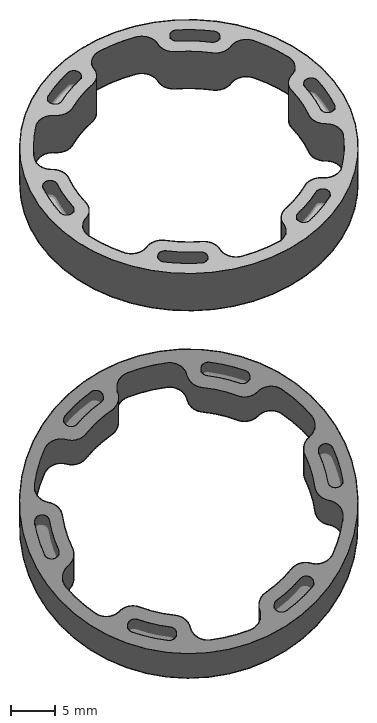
import cadquery as cq
import math

OUTER_RADIUS = 19.05
HEIGHT = 6.35
DRAFT_ANGLE = 0.5
FACE_RADIUS = OUTER_RADIUS - HEIGHT / 2 * math.tan(math.radians(DRAFT_ANGLE))

LOBE_COUNT = 6
PITCH_ANGLE = 360 / LOBE_COUNT
LOBE_RADIUS = 14.2875
POCKET_RADIUS = 17.4625
WALL_HALF_ANGLE = 7.6
CORNER_RADIUS = 2.0

SLOT_RADIUS = 16.67
SLOT_WIDTH = 1.7
SLOT_LENGTH = 5.65
SLOT_DEPTH = 2.5
SLOT_FLOOR_FILLET = 0.3


def polar_point(radius, angle):
    """Point at the given radius and angle in degrees."""
    return (radius * math.cos(math.radians(angle)), radius * math.sin(math.radians(angle)))


def rotated(point, angle):
    """Point turned about the ring axis by the given angle in degrees."""
    x, y = point
    return polar_point(math.hypot(x, y), math.degrees(math.atan2(y, x)) + angle)


def mirrored(point):
    """Point reflected across the X axis."""
    return (point[0], -point[1])


def arc_middle(center, start, end):
    """Middle point of the shorter arc from start to end about the center."""
    radius = math.dist(center, start)
    chord_x = (start[0] + end[0]) / 2 - center[0]
    chord_y = (start[1] + end[1]) / 2 - center[1]
    scale = radius / math.hypot(chord_x, chord_y)
    return (center[0] + scale * chord_x, center[1] + scale * chord_y)


def make_bore():
    """Through-opening whose pockets and lobes join in S-shaped flanks of two tangent arcs."""
    pocket_center_radius = POCKET_RADIUS - CORNER_RADIUS
    lobe_center_radius = LOBE_RADIUS + CORNER_RADIUS
    flank_cosine = (pocket_center_radius**2 + lobe_center_radius**2 - (2 * CORNER_RADIUS) ** 2) / (
        2 * pocket_center_radius * lobe_center_radius
    )
    face_angle = WALL_HALF_ANGLE + math.degrees(math.acos(flank_cosine))
    pocket_center = polar_point(pocket_center_radius, WALL_HALF_ANGLE)
    lobe_center = polar_point(lobe_center_radius, face_angle)
    wall_end = polar_point(POCKET_RADIUS, WALL_HALF_ANGLE)
    flank_middle = (
        (pocket_center[0] + lobe_center[0]) / 2,
        (pocket_center[1] + lobe_center[1]) / 2,
    )
    face_start = polar_point(LOBE_RADIUS, face_angle)
    pocket_bend = arc_middle(pocket_center, wall_end, flank_middle)
    lobe_bend = arc_middle(lobe_center, flank_middle, face_start)

    first_angle = PITCH_ANGLE / 2
    outline = cq.Workplane("XY").moveTo(*rotated(mirrored(face_start), first_angle))
    for index in range(LOBE_COUNT):
        angle = first_angle + index * PITCH_ANGLE
        next_face_end = rotated(mirrored(face_start), angle + PITCH_ANGLE)
        arcs = [
            (rotated(mirrored(lobe_bend), angle), rotated(mirrored(flank_middle), angle)),
            (rotated(mirrored(pocket_bend), angle), rotated(mirrored(wall_end), angle)),
            (polar_point(POCKET_RADIUS, angle), rotated(wall_end, angle)),
            (rotated(pocket_bend, angle), rotated(flank_middle, angle)),
            (rotated(lobe_bend, angle), rotated(face_start, angle)),
            (polar_point(LOBE_RADIUS, angle + PITCH_ANGLE / 2), next_face_end),
        ]
        for through, end in arcs:
            outline = outline.threePointArc(through, end)
    return outline.close().extrude(HEIGHT)


def make_slot():
    """Curved round-ended slot on the +X axis with a filleted floor."""
    half_width = SLOT_WIDTH / 2
    inner_radius = SLOT_RADIUS - half_width
    outer_radius = SLOT_RADIUS + half_width
    end_angle = math.degrees(math.asin((SLOT_LENGTH / 2 - half_width) / SLOT_RADIUS))
    cap_x, cap_y = polar_point(SLOT_RADIUS, end_angle)
    tangent_x, tangent_y = polar_point(half_width, end_angle + 90)
    tip_x = cap_x + tangent_x
    tip_y = cap_y + tangent_y
    return (
        cq.Workplane("XY", origin=(0, 0, HEIGHT - SLOT_DEPTH))
        .moveTo(*polar_point(inner_radius, -end_angle))
        .threePointArc((tip_x, -tip_y), polar_point(outer_radius, -end_angle))
        .threePointArc((outer_radius, 0), polar_point(outer_radius, end_angle))
        .threePointArc((tip_x, tip_y), polar_point(inner_radius, end_angle))
        .threePointArc((inner_radius, 0), polar_point(inner_radius, -end_angle))
        .close()
        .extrude(SLOT_DEPTH)
        .faces("<Z")
        .edges()
        .fillet(SLOT_FLOOR_FILLET)
    )


def make_rim():
    """Disc whose outer wall tapers slightly from mid-height towards both faces."""
    return (
        cq.Workplane("XZ")
        .moveTo(0, 0)
        .lineTo(FACE_RADIUS, 0)
        .lineTo(OUTER_RADIUS, HEIGHT / 2)
        .lineTo(FACE_RADIUS, HEIGHT)
        .lineTo(0, HEIGHT)
        .close()
        .revolve(360, (0, 0, 0), (0, 1, 0))
    )


def make_ring():
    ring = make_rim().cut(make_bore())
    slot = make_slot()
    for index in range(LOBE_COUNT):
        ring = ring.cut(slot.rotate((0, 0, 0), (0, 0, 1), index * PITCH_ANGLE))
    return ring


result = make_ring()